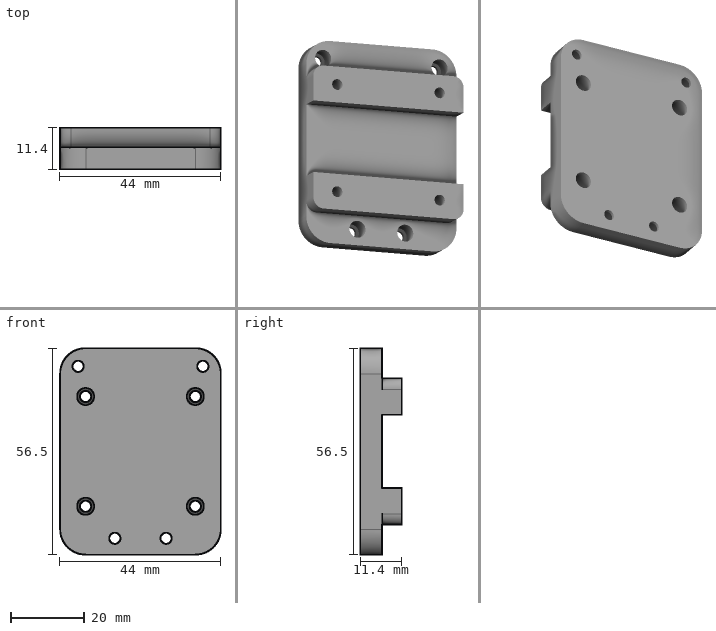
import cadquery as cq

plate_width = 44.0
plate_height = 56.5
plate_thickness = 6.0
plate_corner_radius = 7.0

total_depth = 11.4
bar_height = 10.0
bar_outer_z = 20.0
bar_corner_radius = 3.0

screw_diameter = 3.0
counterbore_diameter = 4.7

bar_hole_offset = 15.0

edge_hole_skin = 1.0
top_hole_offset_x = 17.05
top_hole_z = 23.25
bottom_hole_offset_x = 7.0
bottom_hole_z = -23.75

bar_depth = total_depth - plate_thickness
bar_center_z = bar_outer_z - bar_height / 2
front_y = -total_depth / 2
plate_back_y = front_y + plate_thickness


def block(width, depth, height, y_start, z_center):
    """Box centred in X that starts at y_start and grows towards +Y."""
    return cq.Workplane("XY").box(width, depth, height).translate((0, y_start + depth / 2, z_center))


def make_plate():
    plate = block(plate_width, plate_thickness, plate_height, front_y, 0)
    return plate.edges("|Y").fillet(plate_corner_radius)


def make_bar(side):
    """Bar above (side = 1) or below (side = -1) the centre, rounded at its outer corners."""
    bar = block(plate_width, bar_depth, bar_height, plate_back_y, side * bar_center_z)
    outer_face = ">Z" if side > 0 else "<Z"
    return bar.faces(outer_face).edges("|Y").fillet(bar_corner_radius)


def drill(points, diameter, y_start, depth):
    """Cylinders that start at y_start and run towards +Y, one at each (x, z) point."""
    start_plane = cq.Workplane("XZ", origin=(0, y_start, 0))
    return start_plane.pushPoints(points).circle(diameter / 2).extrude(-depth)


def cut_bar_holes(body):
    """Holes through plate and bars; each counterbore ends where the bar begins."""
    offsets = (-bar_hole_offset, bar_hole_offset)
    points = [(x, z) for x in offsets for z in offsets]
    body = body.cut(drill(points, screw_diameter, front_y, total_depth))
    return body.cut(drill(points, counterbore_diameter, front_y, plate_thickness))


def cut_edge_holes(body):
    """Holes through the plate; each counterbore leaves a thin skin at the front."""
    top_points = [(side * top_hole_offset_x, top_hole_z) for side in (-1, 1)]
    bottom_points = [(side * bottom_hole_offset_x, bottom_hole_z) for side in (-1, 1)]
    points = top_points + bottom_points
    counterbore_depth = plate_thickness - edge_hole_skin
    body = body.cut(drill(points, screw_diameter, front_y, plate_thickness))
    return body.cut(drill(points, counterbore_diameter, front_y + edge_hole_skin, counterbore_depth))


result = make_plate()
for bar_side in (-1, 1):
    result = result.union(make_bar(bar_side))
result = cut_bar_holes(result)
result = cut_edge_holes(result)